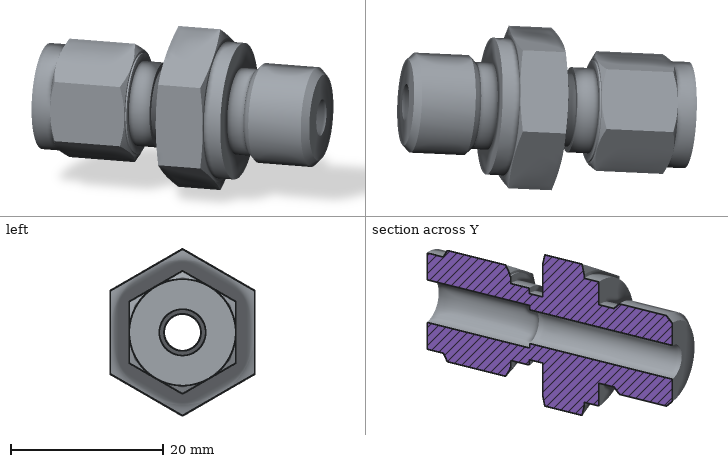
import cadquery as cq
import math


nut_sleeve_end = 2.52
nut_hex_end = 12.7
nut_end = 12.9
collar_end = 15.7
neck_end = 17.7
body_hex_end = 24.15
flange_end = 26.4
undercut_end = 28.6
total_length = 37.6

nut_flats = 14.0
nut_chamfer_angle = 30.0
body_flats = 19.0
body_chamfer_angle = 13.0

nut_shoulder_diameter = 13.3
collar_diameter = 11.2
neck_diameter = 9.63
flange_diameter = 18.0
undercut_diameter = 11.43
thread_diameter = 13.15
thread_chamfer = 0.9

tube_bore_diameter = 6.1
through_bore_diameter = 4.8
tube_bore_depth = collar_end


def cylinder(start, end, diameter):
    """Solid cylinder on the X axis from start to end."""
    return cq.Workplane("YZ", origin=(start, 0, 0)).circle(diameter / 2).extrude(end - start)


def chamfered_hexagon(start, end, flats, angle):
    """Hexagonal prism with corners up and down, turned conically to the flats at both ends."""
    corner_radius = flats / 2 / math.cos(math.radians(30))
    cone_length = (corner_radius - flats / 2) * math.tan(math.radians(angle))
    prism = (
        cq.Workplane("YZ", origin=(start, 0, 0))
        .polygon(6, 2 * corner_radius)
        .extrude(end - start)
        .rotate((0, 0, 0), (1, 0, 0), 90)
    )
    envelope = (
        cq.Workplane("XY")
        .moveTo(start, 0)
        .lineTo(start, flats / 2)
        .lineTo(start + cone_length, corner_radius)
        .lineTo(end - cone_length, corner_radius)
        .lineTo(end, flats / 2)
        .lineTo(end, 0)
        .close()
        .revolve(360, (0, 0, 0), (1, 0, 0))
    )
    return prism.intersect(envelope)


def nut():
    sleeve = cylinder(0, nut_sleeve_end, nut_flats)
    hexagon = chamfered_hexagon(nut_sleeve_end, nut_hex_end, nut_flats, nut_chamfer_angle)
    shoulder = cylinder(nut_hex_end, nut_end, nut_shoulder_diameter)
    return sleeve.union(hexagon).union(shoulder)


def body():
    collar = cylinder(nut_end, collar_end, collar_diameter)
    neck = cylinder(collar_end, neck_end, neck_diameter)
    hexagon = chamfered_hexagon(neck_end, body_hex_end, body_flats, body_chamfer_angle)
    flange = cylinder(body_hex_end, flange_end, flange_diameter)
    return collar.union(neck).union(hexagon).union(flange)


def threaded_end():
    undercut = cylinder(flange_end, undercut_end, undercut_diameter)
    thread = cylinder(undercut_end, total_length, thread_diameter)
    return undercut.union(thread.faces("<X or >X").chamfer(thread_chamfer))


def bore():
    tube_bore = cylinder(0, tube_bore_depth, tube_bore_diameter)
    return tube_bore.union(cylinder(0, total_length, through_bore_diameter))


result = nut().union(body()).union(threaded_end()).cut(bore())